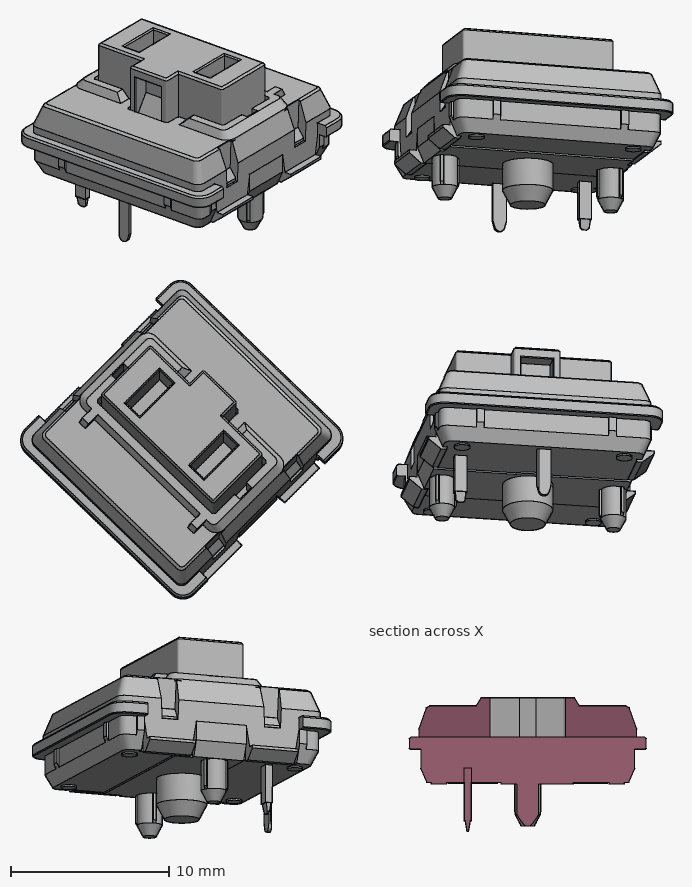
import cadquery as cq

SIDES = (-1, 1)

base_bottom_z = 0.1
base_slope_z = 0.99
flange_bottom_z = 2.2
flange_top_z = 3.0
cover_slope_z = 3.5
cover_top_z = 4.96
collar_top_z = 5.48
stem_top_z = 8.0
pin_tip_z = -3.0
post_tip_z = -2.65

base_half = 6.78
base_corner = 0.51
base_bottom_half = 6.39
flange_size = 15.0
flange_corner = 1.0
flange_top_chamfer = 0.12
flange_bottom_chamfer = 0.06
flange_arm_y = 5.28
corner_rib_height = 0.14
corner_rib_width = 0.5
end_rib_x = 4.25
base_slope_run = (base_half - base_bottom_half) / (base_slope_z - base_bottom_z)
boss_half_y = 1.7
pad_diameter = 1.0
pad_x = 5.2
pad_y = 5.62
hub_diameter = 4.0
seat_bar_back_y = 2.88
centre_post_diameter = 3.2
centre_post_tip_diameter = 2.2
centre_post_cone_z = -1.71
side_post_x = 5.5
side_post_diameter = 1.6
side_post_tip_diameter = 0.84
side_post_cone_z = -1.92
crush_rib_diameter = 1.8
crush_rib_width = 0.21

cover_half_x = base_half
cover_half_y = 6.9
cover_bevel_z = 4.85
cover_bevel_half_x = 6.28
cover_bevel_half_y = 6.42
cover_bevel_corner = 0.39
cover_top_half_x = 6.14
cover_top_half_y = 6.21
cover_top_corner = 0.27
skirt_inner_x = 6.09
leg_y = (flange_arm_y + boss_half_y) / 2
leg_half_width = (flange_arm_y - boss_half_y) / 2
leg_end_half_width = 1.56
leg_bottom_z = 0.05
leg_bottom_x = 6.46
lug_x = 7.25
lug_top_z = 0.85
lug_tip_z = 0.68
notch_top_half_width = 0.66
notch_bottom_half_width = 0.54
notch_inner_x = 6.16
notch_outer_x = 6.63
notch_bottom_z = 2.22
notch_lip_z = 2.4

collar_foot_half_x = 6.27
collar_foot_half_y = 3.27
collar_foot_corner = 0.75
collar_plinth_half_x = cover_bevel_half_x
collar_half_x = 5.75
collar_half_y = 2.95
collar_corner = 0.36
collar_gap_half = 2.35
collar_gap_top_half = 2.86
collar_rib_x = 4.82
collar_rib_width = 0.55
collar_rib_foot_y = 4.08
collar_rib_top_y = 3.8
opening_half_x = 5.22
opening_half_y = 2.42
opening_corner = 0.21
opening_nose_half_x = 1.62
opening_nose_y = -3.57
opening_ear_x = 5.67
opening_ear_width = 1.05

stem_half_x = 5.0
stem_half_y = 2.24
stem_nose_half_x = 1.48
stem_nose_y = -3.46
stem_corner = 0.15
stem_top_chamfer = 0.14
keycap_slot_x = 2.85
keycap_slot_width = 1.2
keycap_slot_length = 3.0
keycap_slot_depth = 3.45
keycap_slot_chamfer = 0.09
window_width = 2.04
window_top_z = 7.3
window_chamfer = 0.06
window_back_y = -2.37
ramp_top_z = 5.82
ramp_front_z = 4.23

pin_root_z = 1.0
shoulder_z = -2.32
pin_a_x = -5.0
pin_a_y = -3.8
pin_a_width = 0.8
pin_a_thickness = 0.45
pin_a_blade_width = 0.69
pin_a_blade_thickness = 0.33
pin_a_bend_width = 0.57
pin_a_bend_thickness = 0.15
pin_a_bend_z = -2.88
pin_a_tip_width = 0.3
pin_a_tip_thickness = 0.09
pin_b_y = -5.88
pin_b_width = 0.9
pin_b_thickness = 0.22
pin_b_bevel = 0.12
pin_b_tip_width = 0.66
pin_b_tip_z = -2.73


def box(x0, x1, y0, y1, z0, z1):
    """Block between opposite corners, given in any order."""
    size = (abs(x1 - x0), abs(y1 - y0), abs(z1 - z0))
    return cq.Workplane("XY").box(*size).translate(((x0 + x1) / 2, (y0 + y1) / 2, (z0 + z1) / 2))


def rounded_rectangle(half_x, half_y, corner, z):
    """Rounded rectangle lying at height z."""
    sketch = cq.Sketch().rect(2 * half_x, 2 * half_y).vertices().fillet(corner)
    return sketch.moved(cq.Location(cq.Vector(0, 0, z)))


def rounded_loft(lower, upper):
    """Solid between two rounded rectangles, each (half_x, half_y, corner, z)."""
    return cq.Workplane("XY").placeSketch(rounded_rectangle(*lower), rounded_rectangle(*upper)).loft()


def xz_prism(points, y0, y1):
    """Outline in X and Z, extruded between two Y positions."""
    return cq.Workplane("XZ", origin=(0, y1, 0)).polyline(points).close().extrude(y1 - y0)


def yz_prism(points, x0, x1):
    """Outline in Y and Z, extruded between two X positions."""
    return cq.Workplane("YZ", origin=(x0, 0, 0)).polyline(points).close().extrude(x1 - x0)


def cylinder(x, y, diameter, z0, z1):
    return cq.Workplane("XY", origin=(x, y, z0)).circle(diameter / 2).extrude(z1 - z0)


def leg_space(side_x, side_y):
    """Room in the base for one cover leg."""
    return box(
        side_x * skirt_inner_x, side_x * flange_size / 2,
        side_y * boss_half_y, side_y * flange_arm_y,
        0, flange_bottom_z,
    )


def tapered_post(diameter, tip_diameter, cone_z):
    """Locating post on the Z axis: cylinder with a conical tip."""
    profile = [
        (0, base_bottom_z),
        (diameter / 2, base_bottom_z),
        (diameter / 2, cone_z),
        (tip_diameter / 2, post_tip_z),
        (0, post_tip_z),
    ]
    return cq.Workplane("XZ").polyline(profile).close().revolve(360, (0, 0, 0), (0, 1, 0))


def side_post(side):
    """Side locating post with three crush ribs, one facing the centre."""
    post = tapered_post(side_post_diameter, side_post_tip_diameter, side_post_cone_z)
    cone_slope = (side_post_diameter - side_post_tip_diameter) / 2 / (side_post_cone_z - post_tip_z)
    rib_end_z = side_post_cone_z + (crush_rib_diameter - side_post_diameter) / 2 / cone_slope
    rib_profile = [
        (0, base_bottom_z),
        (crush_rib_diameter / 2, base_bottom_z),
        (crush_rib_diameter / 2, rib_end_z),
        (side_post_diameter / 2, side_post_cone_z),
        (0, side_post_cone_z),
    ]
    rib = xz_prism(rib_profile, -crush_rib_width / 2, crush_rib_width / 2)
    for angle in (60, 180, 300):
        post = post.union(rib.rotate((0, 0, 0), (0, 0, 1), angle))
    if side < 0:
        post = post.mirror("YZ")
    return post.translate((side * side_post_x, 0, 0))


def corner_ribs():
    """Upright ribs under the flange, two on each side of the base."""
    outer = base_half + corner_rib_height
    foot_z = base_slope_z + corner_rib_height / base_slope_run
    inner = base_half - corner_rib_height
    inner_z = foot_z - 2 * corner_rib_height / base_slope_run
    profile = [(inner, flange_top_z), (outer, flange_top_z), (outer, foot_z), (inner, inner_z)]
    half = corner_rib_width / 2
    side_rib_y = flange_arm_y + half
    ribs = []
    for offset, first_turn in ((side_rib_y, 0), (end_rib_x, 90)):
        for place in (-offset, offset):
            rib = xz_prism(profile, place - half, place + half)
            for turn in (first_turn, first_turn + 180):
                ribs.append(rib.rotate((0, 0, 0), (0, 0, 1), turn))
    return ribs


def seat_bar():
    """Seating face across the middle; its ends carry on the base slope between the legs."""
    end_x = base_bottom_half - base_bottom_z * base_slope_run
    ends = [
        (-base_bottom_half, base_bottom_z), (base_bottom_half, base_bottom_z),
        (end_x, 0), (-end_x, 0),
    ]
    bar = box(-skirt_inner_x, skirt_inner_x, 0, seat_bar_back_y, 0, base_bottom_z)
    return bar.union(xz_prism(ends, -boss_half_y, boss_half_y))


def pin_a_outline(shank, blade, bend, tip):
    """Symmetrical outline of the thick pin from its widths, root to tip."""
    right = [
        (shank / 2, pin_root_z), (shank / 2, shoulder_z), (blade / 2, shoulder_z),
        (bend / 2, pin_a_bend_z), (tip / 2, pin_tip_z),
    ]
    return right + [(-across, z) for across, z in reversed(right)]


def make_pin_a():
    """Thick contact pin, stepped and tapered to a blunt tip."""
    front = pin_a_outline(pin_a_width, pin_a_blade_width, pin_a_bend_width, pin_a_tip_width)
    edge = pin_a_outline(
        pin_a_thickness, pin_a_blade_thickness, pin_a_bend_thickness, pin_a_tip_thickness,
    )
    half_x = pin_a_width / 2
    half_y = pin_a_thickness / 2
    pin = xz_prism(front, -half_y, half_y).intersect(yz_prism(edge, -half_x, half_x))
    return pin.translate((pin_a_x, pin_a_y, 0))


def make_pin_b():
    """Flat contact blade with a rounded point and one bevelled edge."""
    half = pin_b_width / 2
    return (
        cq.Workplane("XZ", origin=(0, pin_b_y + pin_b_thickness / 2, 0))
        .moveTo(-half, pin_root_z)
        .lineTo(-half, shoulder_z)
        .lineTo(-pin_b_tip_width / 2, pin_b_tip_z)
        .threePointArc((0, pin_tip_z), (pin_b_tip_width / 2, pin_b_tip_z))
        .lineTo(half, shoulder_z)
        .lineTo(half, pin_root_z)
        .close()
        .extrude(pin_b_thickness)
        .faces("<X").edges("<Y").chamfer(pin_b_bevel)
    )


def make_base(pins):
    """Lower housing with mounting flange, feet and locating posts."""
    base = rounded_loft(
        (base_bottom_half, base_bottom_half, base_corner, base_bottom_z),
        (base_half, base_half, base_corner, base_slope_z),
    )
    base = base.union(
        cq.Workplane("XY", origin=(0, 0, base_slope_z))
        .rect(2 * base_half, 2 * base_half)
        .extrude(flange_top_z - base_slope_z)
        .edges("|Z").fillet(base_corner)
    )
    for rib in corner_ribs():
        base = base.union(rib)
    flange = (
        cq.Workplane("XY", origin=(0, 0, flange_bottom_z))
        .rect(flange_size, flange_size)
        .extrude(flange_top_z - flange_bottom_z)
        .edges("|Z").fillet(flange_corner)
        .faces(">Z").edges().chamfer(flange_top_chamfer)
        .faces("<Z").edges().chamfer(flange_bottom_chamfer)
    )
    base = base.union(flange)

    for side_x in SIDES:
        base = base.cut(box(
            side_x * skirt_inner_x, side_x * flange_size / 2,
            -flange_arm_y, flange_arm_y,
            flange_bottom_z, flange_top_z,
        ))
        for side_y in SIDES:
            base = base.cut(leg_space(side_x, side_y))

    base = base.union(seat_bar())
    base = base.union(cylinder(0, 0, hub_diameter, 0, base_bottom_z))
    for side_x in SIDES:
        for side_y in SIDES:
            base = base.union(cylinder(side_x * pad_x, side_y * pad_y, pad_diameter, 0, base_bottom_z))
        base = base.union(side_post(side_x))
    base = base.union(tapered_post(centre_post_diameter, centre_post_tip_diameter, centre_post_cone_z))
    for pin in pins:
        base = base.cut(pin)
    return base


def cover_leg(side_x, side_y):
    """Snap leg that narrows downward and ends in an outward lug."""
    section = [
        (skirt_inner_x, flange_bottom_z), (cover_half_x, flange_bottom_z),
        (cover_half_x, lug_top_z), (lug_x, lug_top_z), (lug_x, lug_tip_z),
        (leg_bottom_x, leg_bottom_z), (skirt_inner_x, leg_bottom_z),
    ]
    face = [
        (leg_y - leg_half_width, flange_bottom_z), (leg_y + leg_half_width, flange_bottom_z),
        (leg_y + leg_end_half_width, lug_top_z), (leg_y + leg_end_half_width, leg_bottom_z),
        (leg_y - leg_end_half_width, leg_bottom_z), (leg_y - leg_end_half_width, lug_top_z),
    ]
    leg = xz_prism(section, 0, flange_arm_y).intersect(yz_prism(face, skirt_inner_x, lug_x))
    if side_x < 0:
        leg = leg.mirror("YZ")
    if side_y < 0:
        leg = leg.mirror("XZ")
    return leg


def cover_notch(side_x, side_y):
    """Tapered tool notch in the cover side, with a ramp at its foot."""
    outside = flange_size / 2
    section = [
        (notch_inner_x, cover_top_z), (notch_inner_x, flange_top_z),
        (notch_outer_x, notch_lip_z), (notch_outer_x, notch_bottom_z),
        (outside, notch_bottom_z), (outside, cover_top_z),
    ]
    face = [
        (leg_y - notch_top_half_width, cover_top_z), (leg_y + notch_top_half_width, cover_top_z),
        (leg_y + notch_bottom_half_width, notch_bottom_z), (leg_y - notch_bottom_half_width, notch_bottom_z),
    ]
    notch = xz_prism(section, 0, flange_arm_y).intersect(yz_prism(face, notch_inner_x, outside))
    if side_x < 0:
        notch = notch.mirror("YZ")
    if side_y < 0:
        notch = notch.mirror("XZ")
    return notch


def make_collar():
    """Sloped collar around the stem, open at the front, with two ribs behind."""
    foot = (collar_foot_half_x, collar_foot_half_y, collar_foot_corner)
    collar = rounded_loft(
        (*foot, cover_top_z),
        (collar_half_x, collar_half_y, collar_corner, collar_top_z),
    )
    plinth = rounded_loft(
        (collar_plinth_half_x, collar_foot_half_y, collar_foot_corner, cover_bevel_z),
        (*foot, cover_top_z),
    )
    gap = [
        (-collar_gap_half, cover_top_z), (collar_gap_half, cover_top_z),
        (collar_gap_top_half, collar_top_z), (-collar_gap_top_half, collar_top_z),
    ]
    collar = collar.cut(xz_prism(gap, -collar_foot_half_y, 0)).union(plinth)
    rib_profile = [
        (0, cover_top_z), (collar_rib_foot_y, cover_top_z),
        (collar_rib_top_y, collar_top_z), (0, collar_top_z),
    ]
    for side in SIDES:
        x = side * collar_rib_x
        collar = collar.union(yz_prism(rib_profile, x - collar_rib_width / 2, x + collar_rib_width / 2))
    return collar


def stem_opening():
    """Through opening that follows the stem, with an ear at each end."""
    main = box(-opening_half_x, opening_half_x, -opening_half_y, opening_half_y, flange_top_z, collar_top_z)
    nose = box(-opening_nose_half_x, opening_nose_half_x, opening_nose_y, 0, flange_top_z, collar_top_z)
    opening = main.union(nose).edges("|Z").fillet(opening_corner)
    ears = box(
        -opening_ear_x, opening_ear_x, -opening_ear_width / 2, opening_ear_width / 2,
        flange_top_z, collar_top_z,
    )
    return opening.union(ears)


def make_cover():
    """Upper housing with sloped sides, skirt, legs, notches and collar."""
    cover = (
        cq.Workplane("XY", origin=(0, 0, flange_top_z))
        .rect(2 * cover_half_x, 2 * cover_half_y)
        .extrude(cover_slope_z - flange_top_z)
        .edges("|Z").fillet(base_corner)
    )
    bevel_start = (cover_bevel_half_x, cover_bevel_half_y, cover_bevel_corner, cover_bevel_z)
    slope = rounded_loft(
        (cover_half_x, cover_half_y, base_corner, cover_slope_z),
        bevel_start,
    )
    bevel = rounded_loft(
        bevel_start,
        (cover_top_half_x, cover_top_half_y, cover_top_corner, cover_top_z),
    )
    cover = cover.union(slope).union(bevel)
    for side_x in SIDES:
        cover = cover.union(box(
            side_x * skirt_inner_x, side_x * cover_half_x,
            -flange_arm_y, flange_arm_y,
            flange_bottom_z, flange_top_z,
        ))
        for side_y in SIDES:
            cover = cover.union(cover_leg(side_x, side_y))
            cover = cover.cut(cover_notch(side_x, side_y))
    return cover.union(make_collar()).cut(stem_opening())


def make_stem():
    """Sliding stem with two keycap slots and a ramped front window."""
    main = box(-stem_half_x, stem_half_x, -stem_half_y, stem_half_y, flange_top_z, stem_top_z)
    nose = box(-stem_nose_half_x, stem_nose_half_x, stem_nose_y, 0, flange_top_z, stem_top_z)
    stem = main.edges("|Z").fillet(stem_corner).union(nose.edges("|Z and <Y").fillet(stem_corner))
    stem = stem.faces(">Z").edges().chamfer(stem_top_chamfer)
    for side in SIDES:
        slot = box(
            -keycap_slot_width / 2, keycap_slot_width / 2,
            -keycap_slot_length / 2, keycap_slot_length / 2,
            stem_top_z - keycap_slot_depth, stem_top_z,
        )
        mouth = (
            cq.Workplane("XY", origin=(0, 0, stem_top_z))
            .rect(keycap_slot_width + 2 * keycap_slot_chamfer, keycap_slot_length + 2 * keycap_slot_chamfer)
            .extrude(-keycap_slot_chamfer, taper=45)
        )
        stem = stem.cut(slot.union(mouth).translate((side * keycap_slot_x, 0, 0)))
    window = [
        (stem_nose_y, window_top_z), (window_back_y, window_top_z),
        (window_back_y, ramp_top_z), (stem_nose_y, ramp_front_z),
    ]
    stem = stem.cut(yz_prism(window, -window_width / 2, window_width / 2))

    frame = (
        cq.Workplane("XZ", origin=(0, stem_nose_y, (window_top_z + flange_top_z) / 2))
        .rect(window_width + 2 * window_chamfer, window_top_z - flange_top_z + 2 * window_chamfer)
        .extrude(-window_chamfer, taper=45)
    )
    above_ramp = box(-stem_half_x, stem_half_x, stem_nose_y, 0, ramp_front_z, stem_top_z)
    return stem.cut(frame.intersect(above_ramp))


pin_a = make_pin_a()
pin_b = make_pin_b()
base = make_base([pin_a, pin_b])
cover = make_cover()
stem = make_stem()

bodies = [base, cover, stem, pin_a, pin_b]
result = cq.Compound.makeCompound([body.solids().val() for body in bodies])